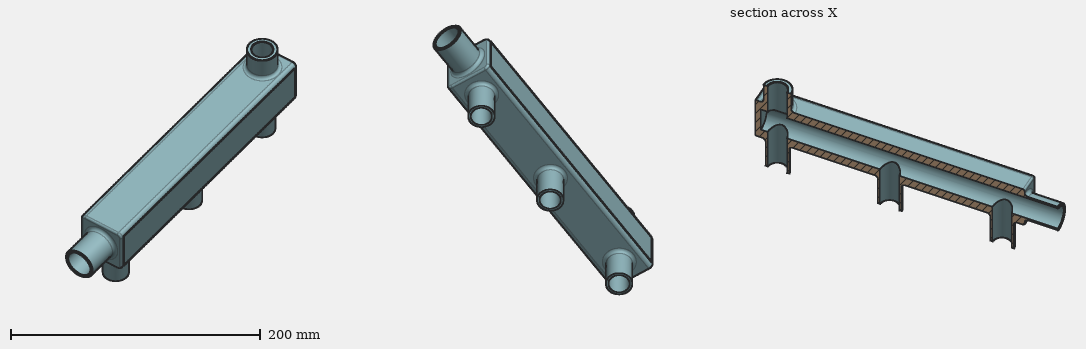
import cadquery as cq

body_side = 40.0
body_length = 240.0
long_edge_radius = 4.0
end_edge_radius = 2.0

panel_height = 0.5
panel_inset = 3.2

inlet_diameter, inlet_bore, inlet_length = 26.7, 22.0, 30.0
riser_diameter, riser_bore, riser_length = 25.0, 17.0, 20.0
outlet_diameter, outlet_bore, outlet_length = 21.3, 17.0, 30.0
weld_radius = 3.0
tip_chamfer = 0.5

end_offset = 20.0
outlet_count = 3
outlet_pitch = 100.0

end_wall = 5.5

half_side = body_side / 2
half_length = body_length / 2
riser_y = half_length - end_offset
outlet_ys = [riser_y - i * outlet_pitch for i in range(outlet_count)]

toward_inlet = cq.Vector(0, -1, 0)
upward = cq.Vector(0, 0, 1)
downward = cq.Vector(0, 0, -1)


def make_body():
    """Solid bar with rounded edges and the raised side panel."""
    bar = cq.Workplane("XY").box(body_side, body_length, body_side)
    bar = bar.edges("|Y").fillet(long_edge_radius)
    bar = bar.faces("<Y or >Y").edges().fillet(end_edge_radius)
    panel_length = body_length - 2 * panel_inset
    panel_width = body_side - 2 * panel_inset
    panel = cq.Workplane("YZ").rect(panel_length, panel_width).extrude(half_side + panel_height)
    return bar.union(panel)


def make_stub(root, direction, diameter, length, chamfer=0):
    """Round stub standing on a body face, with a concave weld fillet at its foot."""
    foot_radius = diameter / 2 + weld_radius
    foot = cq.Solid.makeCylinder(foot_radius, weld_radius, root, direction)
    hollow = cq.Solid.makeTorus(foot_radius, weld_radius, root + direction * weld_radius, direction)
    tube = cq.Solid.makeCylinder(diameter / 2, length - chamfer, root, direction)
    stub = foot.cut(hollow).fuse(tube)
    if chamfer:
        shoulder = root + direction * (length - chamfer)
        tip = cq.Solid.makeCone(diameter / 2, diameter / 2 - chamfer, chamfer, shoulder, direction)
        stub = stub.fuse(tip)
    return stub


def make_bore(root, direction, diameter, length, depth, chamfer=0):
    """Cutter running from the stub tip to the given depth below the body face."""
    tip = root + direction * length
    inward = direction * -1
    cutter = cq.Solid.makeCylinder(diameter / 2, length + depth, tip, inward)
    if chamfer:
        mouth = cq.Solid.makeCone(diameter / 2 + chamfer, diameter / 2, chamfer, tip, inward)
        cutter = cutter.fuse(mouth)
    return cutter


inlet_root = cq.Vector(0, -half_length, 0)
riser_root = cq.Vector(0, riser_y, half_side)
outlet_roots = [cq.Vector(0, y, -half_side) for y in outlet_ys]

result = make_body()
result = result.union(make_stub(inlet_root, toward_inlet, inlet_diameter, inlet_length, tip_chamfer))
result = result.union(make_stub(riser_root, upward, riser_diameter, riser_length, tip_chamfer))
for outlet_root in outlet_roots:
    result = result.union(make_stub(outlet_root, downward, outlet_diameter, outlet_length))

channel_depth = body_length - end_wall
result = result.cut(make_bore(inlet_root, toward_inlet, inlet_bore, inlet_length, channel_depth, tip_chamfer))
result = result.cut(make_bore(riser_root, upward, riser_bore, riser_length, half_side, tip_chamfer))
for outlet_root in outlet_roots:
    result = result.cut(make_bore(outlet_root, downward, outlet_bore, outlet_length, half_side))